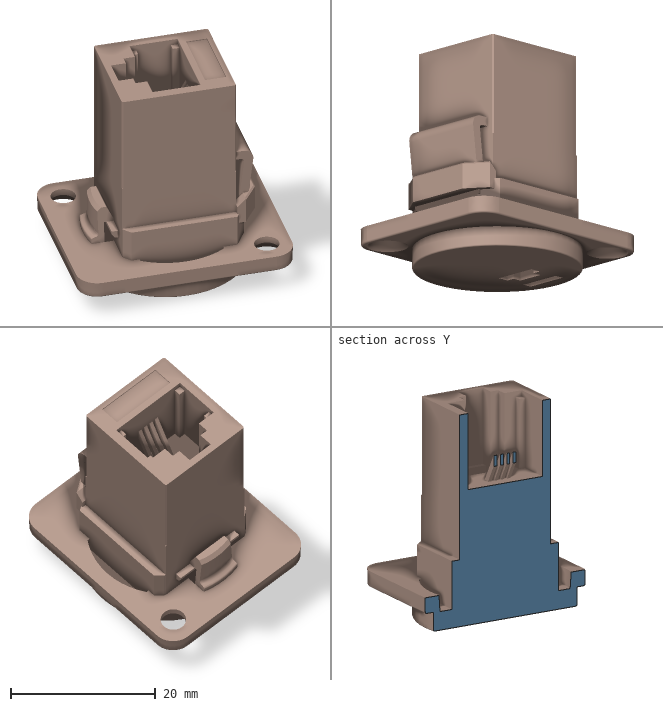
import cadquery as cq
import math

flange_width = 26.0
flange_depth = 31.0
flange_corner_radius = 3.0
flange_draft_angle = 1.5
flange_bottom_fillet = 0.25
spigot_radius = 11.8
spigot_bottom_fillet = 0.2
flange_bottom = 2.75
flange_top = 5.1
screw_hole_diameter = 3.5
screw_sink_diameter = 5.75
screw_sink_height = 1.4
screw_hole_x = 9.5
screw_hole_y = 12.0

pocket_radius = 10.85
pocket_half_length = 6.0
pocket_draft_angle = 4.0

housing_half_width = 7.38
housing_half_depth = 8.18
housing_top = 30.7
corner_chamfer = 0.2
corner_chamfer_bottom = 16.43

collar_half_width = 8.65
collar_top = 9.73
collar_front = 8.12
collar_front_half_width = 7.55
collar_front_corner = 7.15
collar_back_corner = 8.03
collar_back = 9.73
collar_back_half_width = 5.9

socket_half_width = 5.98
socket_half_depth = 3.45
socket_floor = 19.7
peg_size = 0.95
peg_drop = 0.87
key_wide_half_width = 3.2
key_wide_y = -5.08
key_narrow_half_width = 1.98
key_narrow_y = -6.4
key_ledge_y = -7.2

contact_count = 4
contact_pitch = 1.02
contact_width = 0.55
contact_thickness = 0.93
contact_length = 3.9
contact_top = 26.55

label_width = 9.98
label_depth = 3.0
label_center_y = 5.9
label_recess = 0.12

latch_top = 10.6
latch_hook_bottom = 8.25
latch_nose_bottom = 8.68
latch_nose_top_y = -9.15
latch_inner_y = -9.55
latch_half_width_top = 2.7
latch_half_width_bottom = 3.15
latch_top_radius = 10.3
latch_face_radius = 10.82
latch_top_chamfer = 0.55
latch_foot_top = 5.75
latch_foot_round_radius = 11.62
latch_foot_round_top = 5.98
latch_neck_radius = 11.25
latch_neck_bottom = 6.1
latch_neck_top = 6.6
bar_half_length = 5.5
bar_y = -9.18
bar_bottom = 7.15
bar_chamfer_depth = 0.45
bar_chamfer_height = 0.68

bracket_bottom = 8.25
bracket_top = 12.0
bracket_front = 9.4
bracket_back = 11.6
bracket_half_width = 8.0
bracket_back_half_width = 4.87
bracket_top_chamfer = 0.22
cheek_inner = 6.45
cheek_slope_bottom = 10.85
arm_half_width = 6.3
arm_top = 18.88
arm_thickness = 1.27
arm_bend_y = 11.13
arm_outer_radius = 1.4
arm_inner_radius = 0.5
arm_foot_y = 9.73
arm_foot_z = 7.6


def centered_box(half_x, y_start, y_end, z_start, z_end):
    """Box symmetric in X between the given Y and Z limits."""
    return (
        cq.Workplane("XY")
        .box(2 * half_x, y_end - y_start, z_end - z_start, centered=(True, False, False))
        .translate((0, y_start, z_start))
    )


def side_prism(points, half_width):
    """Prism symmetric in X from a closed outline of (y, z) points."""
    return cq.Workplane("YZ").polyline(points).close().extrude(half_width, both=True)


def make_base():
    """Drafted flange with its spigot and two diagonal holes countersunk from below."""
    outline = cq.Sketch().rect(flange_width, flange_depth).vertices().fillet(flange_corner_radius)
    flange = (
        cq.Workplane("XY")
        .workplane(offset=flange_top)
        .placeSketch(outline)
        .extrude(flange_bottom - flange_top, taper=flange_draft_angle)
        .faces("<Z")
        .edges()
        .fillet(flange_bottom_fillet)
    )
    hole_radius = screw_hole_diameter / 2
    sink_radius = screw_sink_diameter / 2
    sink_top = flange_bottom + screw_sink_height
    hole = (
        cq.Workplane("XZ")
        .polyline([
            (0, flange_bottom),
            (sink_radius, flange_bottom),
            (hole_radius, sink_top),
            (hole_radius, flange_top),
            (0, flange_top),
        ])
        .close()
        .revolve(360, (0, 0), (0, 1))
    )
    for side in (-1, 1):
        flange = flange.cut(hole.translate((side * screw_hole_x, side * screw_hole_y, 0)))
    spigot = (
        cq.Workplane("XY")
        .circle(spigot_radius)
        .extrude(flange_bottom)
        .faces("<Z")
        .edges()
        .fillet(spigot_bottom_fillet)
    )
    return flange.union(spigot)


def make_side_pockets():
    """Circular pocket trimmed at both Y ends; the collar fills its middle."""
    disc = cq.Workplane("XY").workplane(offset=flange_top).circle(pocket_radius)
    disc = disc.extrude(flange_bottom - flange_top, taper=pocket_draft_angle)
    band = centered_box(pocket_radius, -pocket_half_length, pocket_half_length, flange_bottom, flange_top)
    return disc.intersect(band)


def make_collar():
    right_side = [
        (collar_front_half_width, -collar_front),
        (collar_half_width, -collar_front_corner),
        (collar_half_width, collar_back_corner),
        (collar_back_half_width, collar_back),
    ]
    left_side = [(-x, y) for x, y in reversed(right_side)]
    outline = cq.Workplane("XY").workplane(offset=flange_bottom).polyline(right_side + left_side)
    return outline.close().extrude(collar_top - flange_bottom)


def make_housing():
    """Square housing whose vertical corners are chamfered on the upper part only."""
    lower = centered_box(
        housing_half_width, -housing_half_depth, housing_half_depth, flange_bottom, corner_chamfer_bottom
    )
    upper = centered_box(
        housing_half_width, -housing_half_depth, housing_half_depth, corner_chamfer_bottom, housing_top
    )
    return lower.union(upper.edges("|Z").chamfer(corner_chamfer))


def make_socket():
    """Socket void with corner pegs left standing."""
    socket = centered_box(socket_half_width, -socket_half_depth, socket_half_depth, socket_floor, housing_top)
    pegs = (
        cq.Workplane("XY")
        .workplane(offset=socket_floor)
        .rect(2 * socket_half_width - peg_size, 2 * socket_half_depth - peg_size, forConstruction=True)
        .vertices()
        .rect(peg_size, peg_size)
        .extrude(housing_top - peg_drop - socket_floor)
    )
    return socket.cut(pegs)


def make_key_slot():
    """Stepped key slot through the whole part, with a ledge at its narrow end."""
    wide = centered_box(key_wide_half_width, key_wide_y, -socket_half_depth, 0, housing_top)
    narrow = centered_box(key_narrow_half_width, key_narrow_y, key_wide_y, 0, housing_top)
    ledge = centered_box(key_narrow_half_width, key_ledge_y, key_narrow_y, socket_floor, housing_top)
    return wide.union(narrow).union(ledge)


def make_contacts():
    """Strips sloping from the rear socket wall down to the socket floor."""
    wall_y = socket_half_depth
    tip_y = wall_y - contact_length
    outline = [
        (wall_y, contact_top),
        (tip_y, socket_floor),
        (tip_y + contact_thickness, socket_floor),
        (wall_y, contact_top - contact_thickness * (contact_top - socket_floor) / contact_length),
    ]
    strip = side_prism(outline, contact_width / 2)
    first_x = -contact_pitch * (contact_count - 1) / 2
    contacts = cq.Workplane("XY")
    for index in range(contact_count):
        contacts = contacts.add(strip.translate((first_x + index * contact_pitch, 0, 0)))
    return contacts.combine()


def make_label_recess():
    return centered_box(
        label_width / 2,
        label_center_y - label_depth / 2,
        label_center_y + label_depth / 2,
        housing_top - label_recess,
        housing_top,
    )


def make_latch():
    """Hooked latch with flat inner faces, tapered sides and an outer face round about Z."""
    inner = [
        (latch_inner_y, flange_top),
        (-spigot_radius, flange_top),
        (-spigot_radius, latch_top),
        (latch_nose_top_y, latch_top),
        (-housing_half_depth, latch_nose_bottom),
        (-housing_half_depth, latch_hook_bottom),
        (latch_inner_y, latch_hook_bottom),
    ]
    outer = (
        cq.Workplane("XZ")
        .moveTo(0, flange_top)
        .lineTo(0, latch_top)
        .lineTo(latch_top_radius, latch_top)
        .lineTo(latch_face_radius, latch_top - latch_top_chamfer)
        .lineTo(latch_face_radius, latch_neck_top)
        .tangentArcPoint((latch_neck_radius, latch_neck_bottom), relative=False)
        .lineTo(latch_foot_round_radius, latch_foot_round_top)
        .tangentArcPoint((spigot_radius, latch_foot_top), relative=False)
        .lineTo(spigot_radius, flange_top)
        .close()
        .revolve(360, (0, 0), (0, 1))
    )
    sides = (
        cq.Workplane("XZ")
        .polyline([
            (-latch_half_width_bottom, flange_top),
            (latch_half_width_bottom, flange_top),
            (latch_half_width_top, latch_top),
            (-latch_half_width_top, latch_top),
        ])
        .close()
        .extrude(spigot_radius)
    )
    return side_prism(inner, latch_half_width_bottom).intersect(outer).intersect(sides)


def make_catch_bar():
    outline = [
        (-housing_half_depth, latch_hook_bottom),
        (bar_y, latch_hook_bottom),
        (bar_y, bar_bottom + bar_chamfer_height),
        (bar_y + bar_chamfer_depth, bar_bottom),
        (-housing_half_depth, bar_bottom),
    ]
    return side_prism(outline, bar_half_length)


def make_bracket():
    """Rear trapezoid bracket joined to the housing by a sloped cheek on each side."""
    bracket = (
        cq.Workplane("XY")
        .workplane(offset=bracket_bottom)
        .polyline([
            (bracket_half_width, bracket_front),
            (bracket_back_half_width, bracket_back),
            (-bracket_back_half_width, bracket_back),
            (-bracket_half_width, bracket_front),
        ])
        .close()
        .extrude(bracket_top - bracket_bottom)
        .faces(">Z")
        .edges("not <Y")
        .chamfer(bracket_top_chamfer)
    )
    cheek_outline = [
        (housing_half_depth, bracket_bottom),
        (bracket_front, bracket_bottom),
        (bracket_front, bracket_top),
        (housing_half_depth, cheek_slope_bottom),
    ]
    cheeks = side_prism(cheek_outline, bracket_half_width)
    gap = centered_box(cheek_inner, housing_half_depth, bracket_front, bracket_bottom, bracket_top)
    return bracket.union(cheeks.cut(gap))


def make_spring_arm():
    """Bent strip leaving the rear wall and leaning back down to the collar."""
    lean = math.atan2(arm_bend_y - arm_foot_y, arm_top - arm_foot_z)
    inner_offset = arm_thickness / math.cos(lean)
    inner_bend_z = arm_top - arm_thickness
    inner_bend_y = arm_bend_y - inner_offset - arm_thickness * math.tan(lean)
    outline = [
        (housing_half_depth, arm_top),
        (arm_bend_y, arm_top),
        (arm_foot_y, arm_foot_z),
        (arm_foot_y - inner_offset, arm_foot_z),
        (inner_bend_y, inner_bend_z),
        (housing_half_depth, inner_bend_z),
    ]
    arm = side_prism(outline, arm_half_width)
    outer_edge = cq.selectors.NearestToPointSelector((0, arm_bend_y, arm_top))
    inner_edge = cq.selectors.NearestToPointSelector((0, inner_bend_y, inner_bend_z))
    return arm.edges(outer_edge).fillet(arm_outer_radius).edges(inner_edge).fillet(arm_inner_radius)


latch_slot = centered_box(latch_half_width_bottom, latch_inner_y, -housing_half_depth, 0, flange_top)

body = make_base().cut(make_side_pockets()).cut(latch_slot)
solids = [
    make_collar(),
    make_housing(),
    make_latch(),
    make_catch_bar(),
    make_bracket(),
    make_spring_arm(),
]
for solid in solids:
    body = body.union(solid)

for void in (make_socket(), make_key_slot(), make_label_recess()):
    body = body.cut(void)

result = body.union(make_contacts())